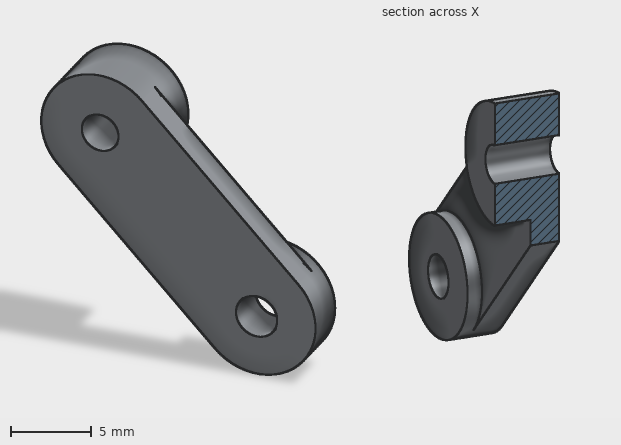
import cadquery as cq
import math

overall_size = 18.61
end_radius = 4.0
plate_thickness = 2.01
tall_boss_height = 2.5
short_boss_height = 1.0
upper_hole_diameter = 2.5
lower_hole_diameter = 2.8

center_offset = overall_size / 2 - end_radius
center_distance = 2 * center_offset * math.sqrt(2)
upper_center = (-center_offset, center_offset)
lower_center = (center_offset, -center_offset)


def cylinder_along_y(center, radius, start, length):
    """Cylinder centred at (x, z), running from Y = start towards +Y."""
    return (
        cq.Workplane("XZ", origin=(0, start, 0))
        .center(*center)
        .circle(radius)
        .extrude(-length)
    )


def end_boss(center, height):
    """Boss on the back face of the plate, flush with its rounded end."""
    return cylinder_along_y(center, end_radius, plate_thickness, height)


def through_hole(center, diameter, boss_height):
    """Cutter through the plate and the boss behind it."""
    return cylinder_along_y(center, diameter / 2, 0, plate_thickness + boss_height)


link = (
    cq.Workplane("XZ")
    .transformed(rotate=(0, 0, -45))
    .rect(center_distance, 2 * end_radius)
    .extrude(-plate_thickness)
)
for center in (upper_center, lower_center):
    link = link.union(cylinder_along_y(center, end_radius, 0, plate_thickness))

link = link.union(end_boss(upper_center, tall_boss_height))
link = link.union(end_boss(lower_center, short_boss_height))

link = link.cut(through_hole(upper_center, upper_hole_diameter, tall_boss_height))
link = link.cut(through_hole(lower_center, lower_hole_diameter, short_boss_height))

result = link